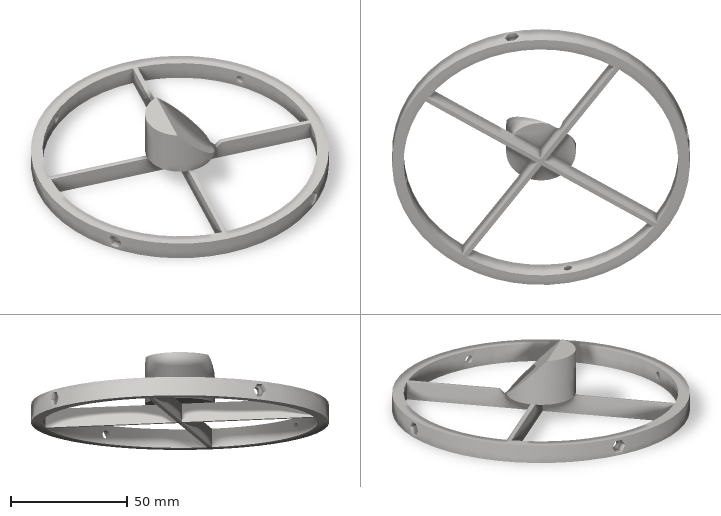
import cadquery as cq
import math

outer_diameter = 128.0
inner_diameter = 118.0
ring_height = 8.0
total_height = 28.0
spoke_width = 2.0
hub_diameter = 30.0
slope_foot_y = 14.1
notch_depth = 2.2
bolt_diameter = 3.5
nut_across_flats = 5.5
nut_pocket_depth = 3.0
bolt_angles = (45, 135, 225, 315)

outer_radius = outer_diameter / 2
inner_radius = inner_diameter / 2
wall = outer_radius - inner_radius
hub_height = total_height - ring_height


def make_ring():
    """Plain rim resting on Z = 0."""
    return cq.Workplane("XY").circle(outer_radius).circle(inner_radius).extrude(ring_height)


def make_spokes():
    """Two crossed bars whose ends are embedded in the rim."""
    length = inner_diameter + wall
    centered = (True, True, False)
    along_x = cq.Workplane("XY").box(length, spoke_width, ring_height, centered=centered)
    along_y = cq.Workplane("XY").box(spoke_width, length, ring_height, centered=centered)
    return along_x.union(along_y)


def make_hub():
    """Round post standing on top of the spoke crossing."""
    return cq.Workplane("XY").workplane(offset=ring_height).circle(hub_diameter / 2).extrude(hub_height)


def make_slope_cutter():
    """Right-angled V with 45 degree sides, shaping the hub and notching the +Y spoke."""
    corner_y = slope_foot_y + notch_depth
    corner_z = ring_height - notch_depth
    rise = total_height - corner_z + notch_depth
    return (
        cq.Workplane("YZ")
        .moveTo(corner_y, corner_z)
        .lineTo(corner_y - rise, corner_z + rise)
        .lineTo(corner_y + rise, corner_z + rise)
        .close()
        .extrude(hub_diameter / 2, both=True)
    )


def make_bolt_cutter(angle):
    """Radial bolt hole with a hexagonal nut pocket on the outside of the rim."""
    direction = cq.Vector(math.cos(math.radians(angle)), math.sin(math.radians(angle)), 0)
    tangent = cq.Vector(-direction.y, direction.x, 0)
    mid_height = cq.Vector(0, 0, ring_height / 2)
    nut_across_corners = nut_across_flats / math.cos(math.pi / 6)

    def radial_plane(radius):
        return cq.Plane(origin=direction * radius + mid_height, xDir=tangent, normal=direction)

    hole = cq.Workplane(radial_plane(inner_radius - wall)).circle(bolt_diameter / 2).extrude(3 * wall)
    pocket = (
        cq.Workplane(radial_plane(outer_radius - nut_pocket_depth))
        .polygon(6, nut_across_corners)
        .extrude(nut_pocket_depth + wall)
    )
    return hole.union(pocket)


result = make_ring().union(make_spokes()).union(make_hub()).cut(make_slope_cutter())
for bolt_angle in bolt_angles:
    result = result.cut(make_bolt_cutter(bolt_angle))